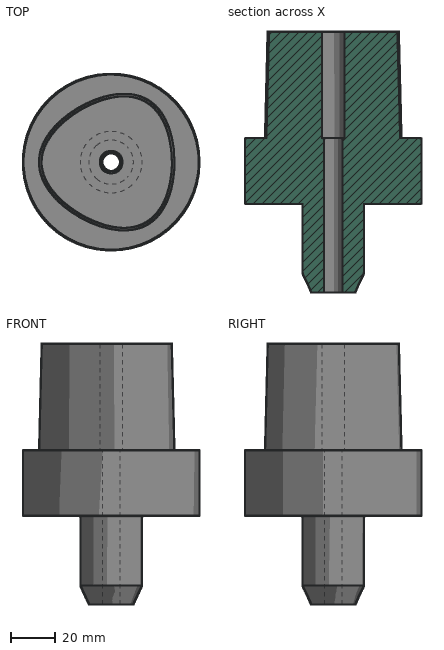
import cadquery as cq
import math

total_height = 118
shank_height = 48.0
flange_height = 30.0
pin_length = total_height - shank_height - flange_height
pin_tip_height = 8.5

flange_diameter = 80.0
pin_diameter = 28.0
pin_tip_diameter = 20.1
flange_chamfer = 0.4
pin_root_fillet = 0.5

shank_base_radius = 30.7
shank_taper = 1 / 40
shank_top_radius = shank_base_radius - shank_height * shank_taper
lobe_eccentricity = 2.0

bore_diameter = 8.0
upper_bore_diameter = 10.1
upper_bore_depth = shank_height


def lobed_outline(mean_radius):
    """Closed three-lobed curve with one lobe pointing to -X."""
    def point(angle):
        x = mean_radius * math.cos(angle) - lobe_eccentricity * math.cos(2 * angle)
        y = mean_radius * math.sin(angle) + lobe_eccentricity * math.sin(2 * angle)
        return x, y

    curve_points = 48
    points = [point(2 * math.pi * i / curve_points) for i in range(curve_points)]
    spline = cq.Edge.makeSpline([cq.Vector(x, y, 0) for x, y in points], periodic=True)
    return cq.Wire.assembleEdges([spline])


def make_pin():
    tip = (
        cq.Workplane("XY")
        .circle(pin_tip_diameter / 2)
        .workplane(offset=pin_tip_height)
        .circle(pin_diameter / 2)
        .loft(ruled=True)
    )
    body = (
        cq.Workplane("XY", origin=(0, 0, pin_tip_height))
        .circle(pin_diameter / 2)
        .extrude(pin_length - pin_tip_height)
    )
    return tip.union(body)


def make_flange():
    return (
        cq.Workplane("XY", origin=(0, 0, pin_length))
        .circle(flange_diameter / 2)
        .extrude(flange_height)
        .edges()
        .chamfer(flange_chamfer)
    )


def make_shank():
    base_height = pin_length + flange_height
    base = lobed_outline(shank_base_radius).translate(cq.Vector(0, 0, base_height))
    top = lobed_outline(shank_top_radius).translate(cq.Vector(0, 0, total_height))
    return cq.Workplane(cq.Solid.makeLoft([base, top], True))


def make_bore():
    through = cq.Workplane("XY").circle(bore_diameter / 2).extrude(total_height)
    upper = (
        cq.Workplane("XY", origin=(0, 0, total_height - upper_bore_depth))
        .circle(upper_bore_diameter / 2)
        .extrude(upper_bore_depth)
    )
    return through.union(upper)


pin_and_flange = (
    make_pin()
    .union(make_flange())
    .edges(cq.selectors.RadiusNthSelector(1))
    .edges(">Z")
    .fillet(pin_root_fillet)
)
result = pin_and_flange.union(make_shank()).cut(make_bore())